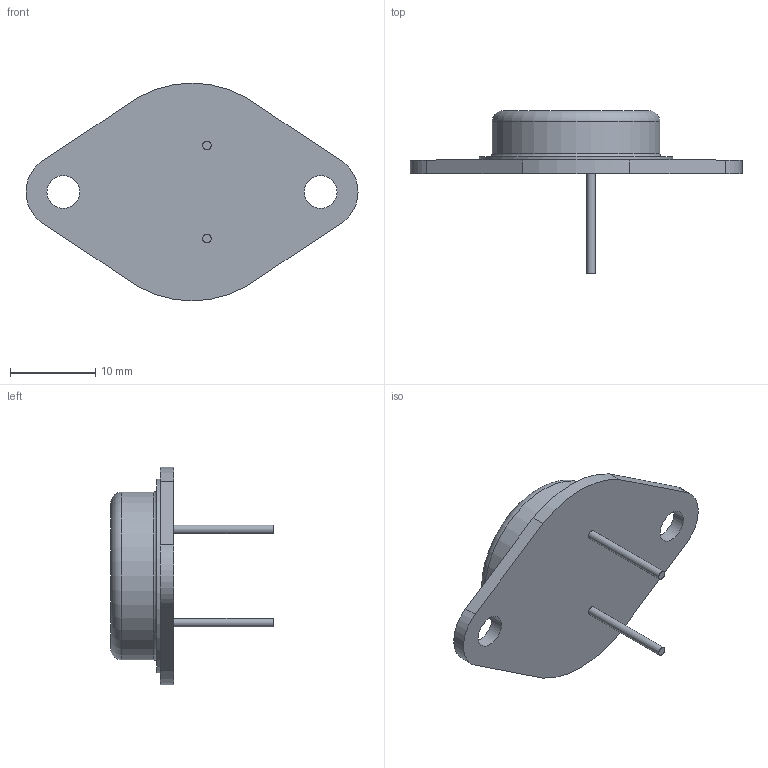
import cadquery as cq
import math

flange_length = 38.91
flange_height = 25.53
flange_thickness = 1.6
hole_spacing = 30.15
hole_diameter = 3.84
crown_half_width = 6.3
crown_rise = 1.66

ring_diameter = 22.7
ring_thickness = 0.38
cap_diameter = 19.65
cap_edge_radius = 1.27
cap_root_radius = 0.35

lead_diameter = 1.0
lead_spacing = 10.92
lead_offset = 1.75

overall_depth = 19.05
cap_top = 7.38
lead_length = overall_depth - cap_top
ring_top = flange_thickness + ring_thickness


def facing_plane(y):
    """XZ plane at height y whose normal points along +Y, with local x = X and local y = -Z."""
    return cq.Workplane(cq.Plane(origin=(0, y, 0), xDir=(1, 0, 0), normal=(0, 1, 0)))


def make_flange():
    half_length = flange_length / 2
    half_height = flange_height / 2
    hole_x = hole_spacing / 2
    tip_radius = half_length - hole_x
    crown_z = half_height - crown_rise

    run = hole_x - crown_half_width
    distance = math.hypot(run, crown_z)
    angle = math.atan2(crown_z, -run) - math.acos(tip_radius / distance)
    tip_x = hole_x + tip_radius * math.cos(angle)
    tip_z = tip_radius * math.sin(angle)

    return (
        facing_plane(0)
        .moveTo(-crown_half_width, crown_z)
        .threePointArc((0, half_height), (crown_half_width, crown_z))
        .lineTo(tip_x, tip_z)
        .threePointArc((half_length, 0), (tip_x, -tip_z))
        .lineTo(crown_half_width, -crown_z)
        .threePointArc((0, -half_height), (-crown_half_width, -crown_z))
        .lineTo(-tip_x, -tip_z)
        .threePointArc((-half_length, 0), (-tip_x, tip_z))
        .close()
        .extrude(flange_thickness)
    )


def cut_mounting_holes(body):
    cutters = (
        facing_plane(0)
        .pushPoints([(-hole_spacing / 2, 0), (hole_spacing / 2, 0)])
        .circle(hole_diameter / 2)
        .extrude(flange_thickness)
    )
    return body.cut(cutters)


def make_cap():
    """Weld ring and cap as one revolved profile about the Y axis."""
    ring_radius = ring_diameter / 2
    cap_radius = cap_diameter / 2
    diagonal = math.sqrt(0.5)

    root_center = (cap_radius + cap_root_radius, ring_top + cap_root_radius)
    root_middle = (
        root_center[0] - cap_root_radius * diagonal,
        root_center[1] - cap_root_radius * diagonal,
    )
    edge_center = (cap_radius - cap_edge_radius, cap_top - cap_edge_radius)
    edge_middle = (
        edge_center[0] + cap_edge_radius * diagonal,
        edge_center[1] + cap_edge_radius * diagonal,
    )

    return (
        cq.Workplane("XY")
        .moveTo(0, flange_thickness)
        .lineTo(ring_radius, flange_thickness)
        .lineTo(ring_radius, ring_top)
        .lineTo(root_center[0], ring_top)
        .threePointArc(root_middle, (cap_radius, root_center[1]))
        .lineTo(cap_radius, edge_center[1])
        .threePointArc(edge_middle, (edge_center[0], cap_top))
        .lineTo(0, cap_top)
        .close()
        .revolve(360, (0, 0, 0), (0, 1, 0))
    )


def make_leads():
    return (
        facing_plane(0)
        .pushPoints([(lead_offset, -lead_spacing / 2), (lead_offset, lead_spacing / 2)])
        .circle(lead_diameter / 2)
        .extrude(-lead_length)
    )


flange = cut_mounting_holes(make_flange())
result = flange.union(make_cap()).union(make_leads())